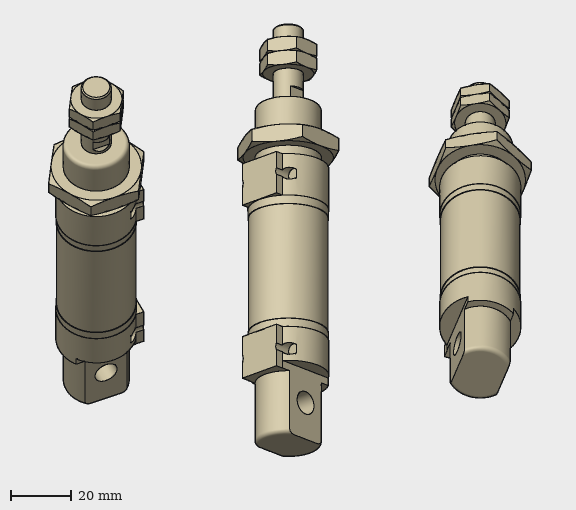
import cadquery as cq
import math

REAR_CAP_BOTTOM = 22.3
REAR_CAP_TOP = 37.2
FRONT_CAP_BOTTOM = 84.2
FRONT_CAP_TOP = 99.0
BAND_HEIGHT = 3.0
BOSS_TOP = 121.0
ROD_TOP = 149.0

TUBE_DIAMETER = 26.4
BAND_DIAMETER = 26.8
CAP_DIAMETER = 27.0
BOSS_DIAMETER = 22.0
BOSS_FILLET = 1.5

TONGUE_THICKNESS = 16.0
TONGUE_FLAT_TOP = 25.0
TONGUE_FILLET = 1.5
PIVOT_HOLE_DIAMETER = 8.0
PIVOT_HOLE_HEIGHT = 13.0

PAD_WIDTH = 15.8
PAD_FACE_Y = 13.75
SIDE_HOLE_DIAMETER = 4.2
SIDE_HOLE_X = 9.65
SIDE_HOLE_END_Y = 7.6
SIDE_HOLE_INSET = 7.0

ROD_DIAMETER = 10.0
ROD_TIP_CHAMFER = 0.5
WRENCH_WIDTH = 8.0
WRENCH_FLAT_BOTTOM = 123.0
WRENCH_FLAT_TOP = 126.7

ROD_NUT_FLATS = 17.0
ROD_NUT_HEIGHT = 5.0
ROD_NUT_BOTTOM = 133.0
ROD_NUT_COUNT = 2
MOUNTING_NUT_FLATS = 30.0
MOUNTING_NUT_HEIGHT = 6.0
MOUNTING_NUT_BOTTOM = 103.0
NUT_CHAMFER_ANGLE = 20.0


def cylinder(diameter, bottom, top):
    return cq.Workplane("XY").workplane(offset=bottom).circle(diameter / 2).extrude(top - bottom)


def box_between(x_range, y_range, z_range):
    (x0, x1), (y0, y1), (z0, z1) = x_range, y_range, z_range
    return cq.Workplane("XY").box(x1 - x0, y1 - y0, z1 - z0, centered=False).translate((x0, y0, z0))


def side_holes(height):
    """Two blind holes along Y that break out through the pad edges and the cap wall."""
    return (
        cq.Workplane("XZ", origin=(0, PAD_FACE_Y, height))
        .pushPoints([(-SIDE_HOLE_X, 0), (SIDE_HOLE_X, 0)])
        .circle(SIDE_HOLE_DIAMETER / 2)
        .extrude(PAD_FACE_Y - SIDE_HOLE_END_Y)
    )


def end_cap(bottom, top, hole_height):
    """Round cap with a flat-faced port pad on its +Y side."""
    half_width = PAD_WIDTH / 2
    pad = box_between((-half_width, half_width), (0, PAD_FACE_Y), (bottom, top))
    return cylinder(CAP_DIAMETER, bottom, top).union(pad).cut(side_holes(hole_height))


def cut_tongue_flats(body):
    """Flatten the tongue on both X sides, running a little way into the rear cap."""
    half_thickness = TONGUE_THICKNESS / 2
    reach = CAP_DIAMETER
    for x_range in ((-reach, -half_thickness), (half_thickness, reach)):
        body = body.cut(box_between(x_range, (-reach, reach), (0, TONGUE_FLAT_TOP)))
    return body


def make_housing():
    tongue = cylinder(BOSS_DIAMETER, 0, REAR_CAP_BOTTOM).faces("<Z").edges().fillet(TONGUE_FILLET)
    rear_cap = end_cap(REAR_CAP_BOTTOM, REAR_CAP_TOP, REAR_CAP_BOTTOM + SIDE_HOLE_INSET)
    rear_band = cylinder(BAND_DIAMETER, REAR_CAP_TOP, REAR_CAP_TOP + BAND_HEIGHT)
    tube = cylinder(TUBE_DIAMETER, REAR_CAP_TOP + BAND_HEIGHT, FRONT_CAP_BOTTOM - BAND_HEIGHT)
    front_band = cylinder(BAND_DIAMETER, FRONT_CAP_BOTTOM - BAND_HEIGHT, FRONT_CAP_BOTTOM)
    front_cap = end_cap(FRONT_CAP_BOTTOM, FRONT_CAP_TOP, FRONT_CAP_TOP - SIDE_HOLE_INSET)
    boss = cylinder(BOSS_DIAMETER, FRONT_CAP_TOP, BOSS_TOP).faces(">Z").edges().fillet(BOSS_FILLET)
    body = tongue
    for section in (rear_cap, rear_band, tube, front_band, front_cap, boss):
        body = body.union(section)
    pivot_hole = (
        cq.Workplane("YZ")
        .center(0, PIVOT_HOLE_HEIGHT)
        .circle(PIVOT_HOLE_DIAMETER / 2)
        .extrude(TONGUE_THICKNESS, both=True)
    )
    return cut_tongue_flats(body).cut(pivot_hole)


def make_rod():
    """Rod standing on the boss face, with two wrench flats that run out at 45 degrees below."""
    rod = cylinder(ROD_DIAMETER, BOSS_TOP, ROD_TOP).faces(">Z").edges().chamfer(ROD_TIP_CHAMFER)
    flat_x = WRENCH_WIDTH / 2
    runout = ROD_DIAMETER / 2 - flat_x
    notch = (
        cq.Workplane("XZ")
        .moveTo(flat_x, WRENCH_FLAT_TOP)
        .lineTo(flat_x, WRENCH_FLAT_BOTTOM)
        .lineTo(flat_x + runout, WRENCH_FLAT_BOTTOM - runout)
        .lineTo(flat_x + runout, WRENCH_FLAT_TOP)
        .close()
        .extrude(ROD_DIAMETER, both=True)
    )
    return rod.cut(notch).cut(notch.mirror("YZ"))


def make_nut(across_flats, height, bore_diameter, bottom):
    """Hex nut with flats facing +X and -X and corners chamfered at both ends."""
    corner_radius = across_flats / math.sqrt(3)
    flat_radius = across_flats / 2
    chamfer_drop = (corner_radius - flat_radius) * math.tan(math.radians(NUT_CHAMFER_ANGLE))
    hexagon = cq.Workplane("XY").polygon(6, 2 * corner_radius).extrude(height)
    hexagon = hexagon.rotate((0, 0, 0), (0, 0, 1), 30)
    chamfer_envelope = (
        cq.Workplane("XZ")
        .moveTo(0, 0)
        .lineTo(flat_radius, 0)
        .lineTo(corner_radius, chamfer_drop)
        .lineTo(corner_radius, height - chamfer_drop)
        .lineTo(flat_radius, height)
        .lineTo(0, height)
        .close()
        .revolve(360, (0, 0, 0), (0, 1, 0))
    )
    nut = hexagon.intersect(chamfer_envelope).cut(cylinder(bore_diameter, 0, height))
    return nut.translate((0, 0, bottom))


housing = make_housing()
rod = make_rod()
mounting_nut = make_nut(MOUNTING_NUT_FLATS, MOUNTING_NUT_HEIGHT, BOSS_DIAMETER, MOUNTING_NUT_BOTTOM)
rod_nuts = [
    make_nut(ROD_NUT_FLATS, ROD_NUT_HEIGHT, ROD_DIAMETER, ROD_NUT_BOTTOM + index * ROD_NUT_HEIGHT)
    for index in range(ROD_NUT_COUNT)
]

result = cq.Compound.makeCompound(
    [housing.val(), rod.val(), mounting_nut.val(), *[nut.val() for nut in rod_nuts]]
)